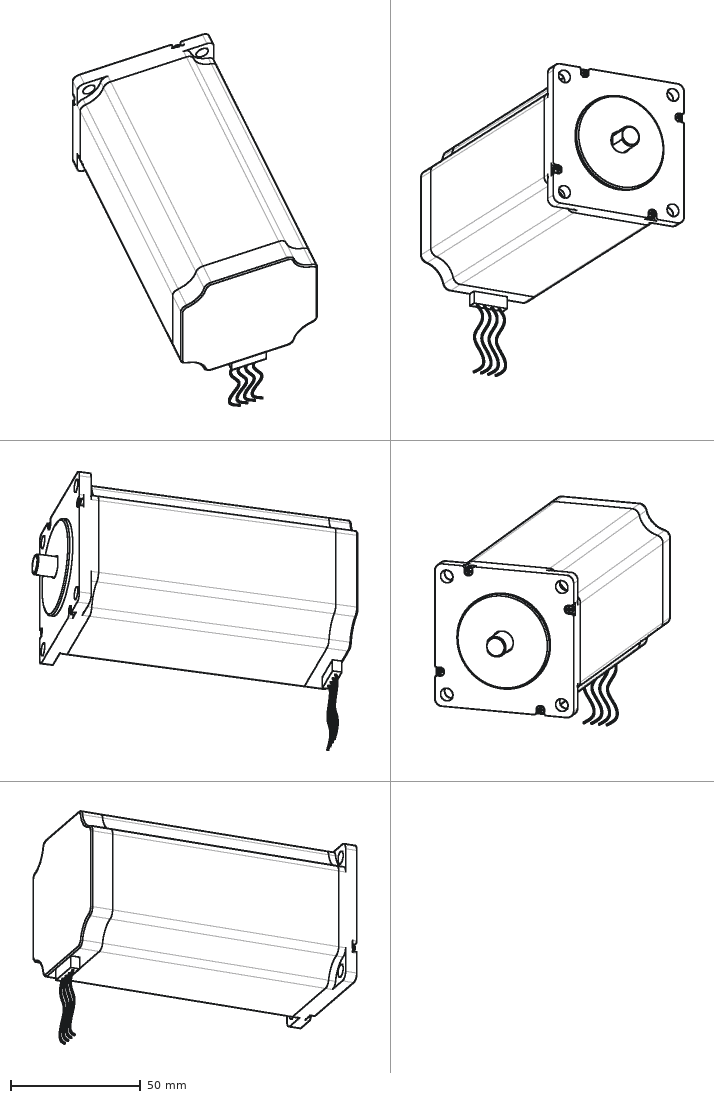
import cadquery as cq
import math

LENGTH = 122.0
WIDTH = 57.0
PILOT_START = 8.2
FLANGE_START = 10.0
FLANGE_END = 14.8
FRONT_COVER_END = 17.7
REAR_COVER_START = 113.0
HALF_WIDTH = WIDTH / 2

CORNER_SCOOP_RADIUS = 10.0
SCOOP_EDGE_FILLET = 3.0
REAR_CHAMFER = 0.6

FLANGE_CORNER_RADIUS = 2.9
PILOT_DIAMETER = 38.0
PILOT_CHAMFER = 0.6
MOUNT_HOLE_SPACING = 47.2
MOUNT_HOLE_DIAMETER = 5.0

SHAFT_DIAMETER = 8.0
SHAFT_BORE_DIAMETER = 8.7
SHAFT_CHAMFER = 0.5
SHAFT_FLAT_DISTANCE = 3.5

POCKET_SIDE_OFFSET = 14.8
POCKET_COUNT = 4
POCKET_EDGE_DISTANCE = 2.1
POCKET_RADIUS = 1.7
POCKET_DEPTH = 1.8
POCKET_MOUTH_FILLET = 0.9
SCREW_HEAD_RADIUS = 1.6
SCREW_RIM_HEIGHT = 1.1
SCREW_SLOT_WIDTH = 0.5
SCREW_SLOT_DEPTH = 0.9

OUTLET_START = 117.6
OUTLET_END = LENGTH - REAR_CHAMFER
OUTLET_WIDTH = 14.4
OUTLET_HEIGHT = 4.9
WIRE_COUNT = 4
WIRE_PITCH = 3.2
WIRE_RADIUS = 0.3
WIRE_PATH = [(0.1, 0.0), (-2.2, 4.1), (1.3, 13.0), (-2.7, 22.6), (1.6, 27.5)]
WIRE_START_DIRECTION = (-1.0, -1.0)
WIRE_BEND_DIRECTION = (0.0, -1.0)
WIRE_END_DIRECTION = (1.0, -0.6)


def section_plane(x):
    """Plane across the motor axis at x, with local axes along Y and Z."""
    return cq.Workplane("YZ", origin=(x, 0, 0))


def body_section(start, end):
    """Length of motor body with the scooped corners."""
    block = section_plane(start).rect(WIDTH, WIDTH).extrude(end - start)
    scoops = (
        section_plane(start)
        .rect(WIDTH, WIDTH, forConstruction=True)
        .vertices()
        .circle(CORNER_SCOOP_RADIUS)
        .extrude(end - start)
    )
    return block.cut(scoops).edges("|X").fillet(SCOOP_EDGE_FILLET)


def screw_pocket():
    """Cutter for a screw pocket open at the top side of the flange."""
    wall = POCKET_RADIUS
    mouth = POCKET_RADIUS + POCKET_MOUTH_FILLET
    edge = POCKET_EDGE_DISTANCE
    fillet_start = edge - POCKET_MOUTH_FILLET
    bend = POCKET_MOUTH_FILLET * (1 - math.sqrt(0.5))
    return (
        section_plane(FLANGE_START)
        .moveTo(-mouth, edge)
        .threePointArc((-wall - bend, edge - bend), (-wall, fillet_start))
        .lineTo(-wall, 0)
        .threePointArc((0, -wall), (wall, 0))
        .lineTo(wall, fillet_start)
        .threePointArc((wall + bend, edge - bend), (mouth, edge))
        .close()
        .extrude(POCKET_DEPTH)
    )


def screw_head():
    """Domed, cross-slotted screw head standing on the pocket floor."""
    floor = FLANGE_START + POCKET_DEPTH
    rim = floor - SCREW_RIM_HEIGHT
    dome_height = rim - FLANGE_START
    dome_radius = (SCREW_HEAD_RADIUS**2 + dome_height**2) / (2 * dome_height)
    cylinder = section_plane(FLANGE_START).circle(SCREW_HEAD_RADIUS).extrude(POCKET_DEPTH)
    dome = cq.Workplane("XY").sphere(dome_radius).translate((FLANGE_START + dome_radius, 0, 0))
    slots = (
        section_plane(FLANGE_START)
        .rect(2 * SCREW_HEAD_RADIUS, SCREW_SLOT_WIDTH)
        .extrude(SCREW_SLOT_DEPTH)
        .union(
            section_plane(FLANGE_START)
            .rect(SCREW_SLOT_WIDTH, 2 * SCREW_HEAD_RADIUS)
            .extrude(SCREW_SLOT_DEPTH)
        )
    )
    return cylinder.intersect(dome).cut(slots)


def around_flange(feature):
    """Copies of a feature, one near each side of the flange."""
    placed = feature.translate((0, POCKET_SIDE_OFFSET, HALF_WIDTH - POCKET_EDGE_DISTANCE))
    return [placed.rotate((0, 0, 0), (1, 0, 0), 360 / POCKET_COUNT * side) for side in range(POCKET_COUNT)]


def make_front_cover():
    """Square flange with pilot, mounting holes, screw heads and the shaft bore."""
    flange = (
        section_plane(FLANGE_START)
        .rect(WIDTH, WIDTH)
        .extrude(FLANGE_END - FLANGE_START)
        .edges("|X")
        .fillet(FLANGE_CORNER_RADIUS)
    )
    mount_holes = (
        section_plane(FLANGE_START)
        .rect(MOUNT_HOLE_SPACING, MOUNT_HOLE_SPACING, forConstruction=True)
        .vertices()
        .circle(MOUNT_HOLE_DIAMETER / 2)
        .extrude(FLANGE_END - FLANGE_START)
    )
    pilot = (
        section_plane(PILOT_START)
        .circle(PILOT_DIAMETER / 2)
        .extrude(FLANGE_END - PILOT_START)
        .faces("<X")
        .chamfer(PILOT_CHAMFER)
    )
    shaft_bore = (
        section_plane(PILOT_START)
        .circle(SHAFT_BORE_DIAMETER / 2)
        .extrude(FRONT_COVER_END - PILOT_START)
    )
    cover = flange.cut(mount_holes).union(pilot).union(body_section(FLANGE_END, FRONT_COVER_END))
    for pocket in around_flange(screw_pocket()):
        cover = cover.cut(pocket)
    for head in around_flange(screw_head()):
        cover = cover.union(head)
    return cover.cut(shaft_bore)


def make_shaft():
    """Round shaft to the back of the front cover, with a flat on the part that sticks out."""
    rod = (
        section_plane(0)
        .circle(SHAFT_DIAMETER / 2)
        .extrude(FRONT_COVER_END)
        .faces("<X")
        .chamfer(SHAFT_CHAMFER)
    )
    flat_cutter = cq.Workplane("XY").box(
        PILOT_START, SHAFT_DIAMETER, SHAFT_DIAMETER, centered=(False, False, True)
    ).translate((0, SHAFT_FLAT_DISTANCE, 0))
    return rod.cut(flat_cutter)


def make_stator():
    """Middle length of the motor body."""
    return body_section(FRONT_COVER_END, REAR_COVER_START)


def make_wire(side_offset):
    """One lead wire hanging from the outlet block in a wavy line."""
    wire_x = (OUTLET_START + OUTLET_END) / 2
    outlet_bottom = -HALF_WIDTH - OUTLET_HEIGHT
    points = [(side_offset + side, outlet_bottom - drop) for side, drop in WIRE_PATH]
    bend_count = len(points) - 2
    directions = [WIRE_START_DIRECTION, *[WIRE_BEND_DIRECTION] * bend_count, WIRE_END_DIRECTION]
    path = section_plane(wire_x).spline(points, tangents=directions)
    start_y, start_z = points[0]
    start_plane = cq.Plane(
        origin=(wire_x, start_y, start_z),
        xDir=(1, 0, 0),
        normal=(0, *WIRE_START_DIRECTION),
    )
    root = cq.Workplane(start_plane).circle(WIRE_RADIUS).extrude(-2 * WIRE_RADIUS)
    return cq.Workplane(start_plane).circle(WIRE_RADIUS).sweep(path).union(root)


def make_rear_cover():
    """Rear end of the body with the cable outlet block and its lead wires."""
    cover = body_section(REAR_COVER_START, LENGTH).faces(">X").chamfer(REAR_CHAMFER)
    outlet = cq.Workplane("XY").box(
        OUTLET_END - OUTLET_START, OUTLET_WIDTH, OUTLET_HEIGHT, centered=(False, True, False)
    ).translate((OUTLET_START, 0, -HALF_WIDTH - OUTLET_HEIGHT))
    cover = cover.union(outlet)
    for index in range(WIRE_COUNT):
        side_offset = (index - (WIRE_COUNT - 1) / 2) * WIRE_PITCH
        cover = cover.union(make_wire(side_offset))
    return cover


front_cover = make_front_cover()
shaft = make_shaft()
stator = make_stator()
rear_cover = make_rear_cover()

result = cq.Compound.makeCompound(
    [front_cover.val(), shaft.val(), stator.val(), rear_cover.val()]
)